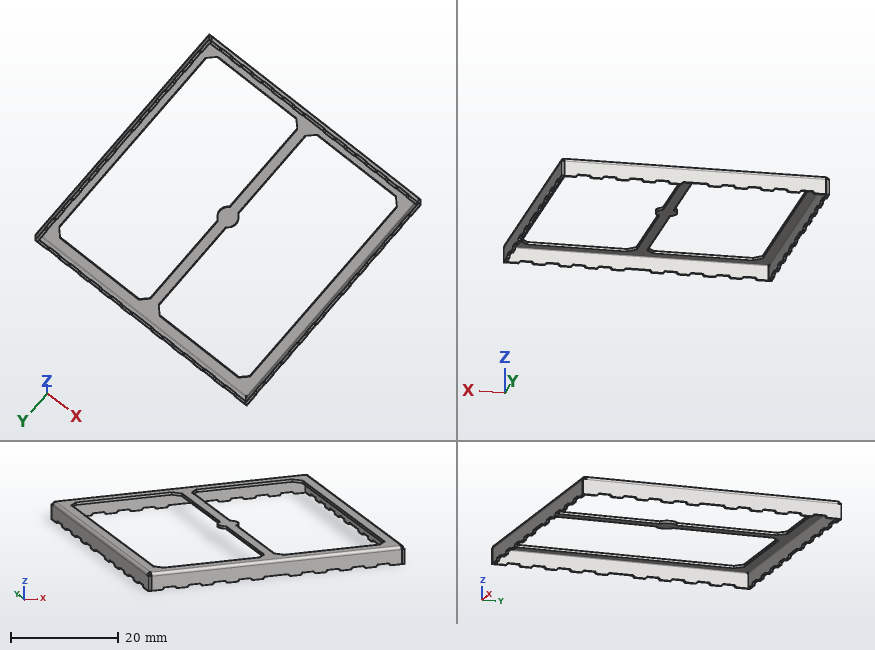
import cadquery as cq
side = 51.0
height = 3.5
sheet_thickness = 0.5
inner_bend_radius = 0.1
outer_bend_radius = inner_bend_radius + sheet_thickness
corner_gap = inner_bend_radius

border = 2.5
bar_width = 2.05
window_corner = 1.5
pad_diameter = 4.0

notch_depth = 0.4
notch_slope = 0.4
notch_width = 2.95
notch_pitch = 5.0
first_notch = 6.25
notches_per_half = 4
middle_notch_width = 5.4

plate_bottom = height - sheet_thickness
wall_top = height - outer_bend_radius


def folded_sheet():
    """Square cap of even thickness, open underneath, rounded along its top edges."""
    inside = side - 2 * sheet_thickness
    cap = (
        cq.Workplane("XY")
        .box(side, side, height, centered=(True, True, False))
        .faces(">Z")
        .edges()
        .fillet(outer_bend_radius)
    )
    cavity = (
        cq.Workplane("XY")
        .box(inside, inside, plate_bottom, centered=(True, True, False))
        .faces(">Z")
        .edges()
        .fillet(inner_bend_radius)
    )
    return cap.cut(cavity)


def blocks_at_corners(x_offset, y_offset, x_size, y_size, bottom, top):
    """The same upright block mirrored into all four corners."""
    return (
        cq.Workplane("XY", origin=(0, 0, bottom))
        .rect(2 * x_offset, 2 * y_offset, forConstruction=True)
        .vertices()
        .rect(x_size, y_size)
        .extrude(top - bottom)
    )


def corner_reliefs():
    """Square reliefs that stop the bends short of each corner."""
    offset = (side - outer_bend_radius) / 2
    return blocks_at_corners(
        offset, offset, outer_bend_radius, outer_bend_radius, wall_top, height
    )


def corner_gaps():
    """Narrow gaps between the full-length X walls and the ends of the Y walls."""
    x_offset = side / 2 - sheet_thickness - corner_gap / 2
    y_offset = (side - sheet_thickness) / 2
    return blocks_at_corners(x_offset, y_offset, corner_gap, sheet_thickness, 0, wall_top)


def windows():
    """Two openings with cut corners, one on each side of the middle bar."""
    length = side - 2 * border
    width = (length - bar_width) / 2
    offset = (width + bar_width) / 2
    openings = (
        cq.Workplane("XY", origin=(0, 0, plate_bottom))
        .pushPoints([(-offset, 0), (offset, 0)])
        .rect(width, length)
        .extrude(sheet_thickness)
    )
    return openings.edges("|Z").chamfer(window_corner)


def centre_pad():
    """Round pad in the middle of the bar."""
    return (
        cq.Workplane("XY", origin=(0, 0, plate_bottom))
        .circle(pad_diameter / 2)
        .extrude(sheet_thickness)
    )


def notch(centre, width):
    """Notch with sloped sides, running along Y through both walls."""
    half_bottom = width / 2
    half_top = half_bottom - notch_slope
    return (
        cq.Workplane("XZ", origin=(centre, 0, 0))
        .moveTo(-half_bottom, 0)
        .lineTo(-half_top, notch_depth)
        .lineTo(half_top, notch_depth)
        .lineTo(half_bottom, 0)
        .close()
        .extrude(side / 2, both=True)
    )


def notch_row():
    """One wide notch in the middle and a row of narrow ones on each side."""
    row = notch(0, middle_notch_width)
    for index in range(notches_per_half):
        centre = first_notch + index * notch_pitch
        row = row.union(notch(centre, notch_width))
        row = row.union(notch(-centre, notch_width))
    return row


notches_through_y_walls = notch_row()
notches_through_x_walls = notches_through_y_walls.rotate((0, 0, 0), (0, 0, 1), 90)

result = folded_sheet().cut(corner_reliefs()).cut(corner_gaps())
result = result.cut(windows()).union(centre_pad())
result = result.cut(notches_through_y_walls).cut(notches_through_x_walls)